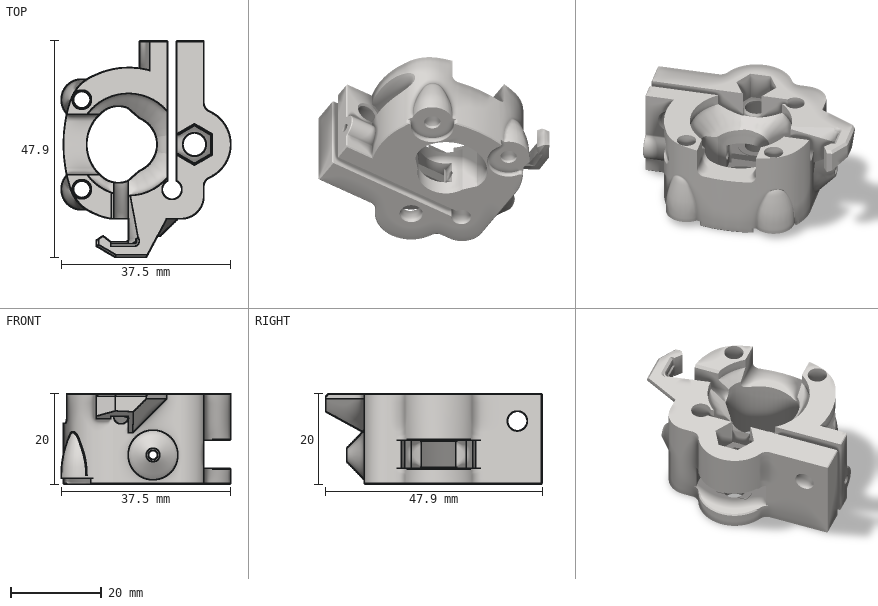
import cadquery as cq
import math


HEIGHT = 20.0
TOLERANCE = 0.01
BODY_RADIUS = 17.03
LEFT_X = -14.4
LEFT_CORNER = (-12.8, 9.67)
BODY_BLEND_X = -7.42
SIDE_ARC_MID = (-10.81, 13.055)
FRONT_ARC_MID = (-5.5, -16.07)
FRONT_Y = -16.45
FRONT_FLAT_START_X = -3.4
FRONT_CORNER_RADIUS = 5.05
EDGE_CHAMFER = 0.25

TAB_END_Y = 22.9
TAB_LEFT_X = 4.7
TAB_RIGHT_X = 16.7
SLOT_LEFT_X = 8.65
SLOT_RIGHT_X = 10.63
RELIEF_Y = -9.95
RELIEF_RADIUS = 2.15
CLAMP_HOLE_Y = 17.4
CLAMP_HOLE_Z = 14.0
CLAMP_HOLE_RADIUS = 2.16
CLAMP_SINK_RADIUS = 2.6
CLAMP_HEAD_RADIUS = 3.35
TAB_CHAMFER = 0.2

EAR_X = 14.6
EAR_RADIUS = 8.05
EAR_FILLET = 2.0
SHAFT_RADIUS = 2.55
NUT_ACROSS_FLATS = 7.9
NUT_FLOOR_Z = 14.0
NUT_DRAFT_DEGREES = 3.0
NUT_OPENING_HALF_WIDTH = 2.1
ROLLER_RADIUS = 8.5
ROLLER_FLOOR_Z = 3.6
ROLLER_CEILING_Z = 9.7
ROLLER_EDGE_CHAMFER = 0.3
SPACER_RADIUS = 4.0
SPACER_HEIGHT = 0.15
WINDOW_HALF_WIDTH = 4.35
WINDOW_END_X = 7.0

BORE_RADIUS = 6.3
BORE_LOBE_RADIUS = 9.2
LOBE_TIP_ARC = ((-5.2, 7.58), (-2.4, 8.45), (-0.1, 8.02))
LOBE_STEP = (2.45, 5.8)
FUNNEL_RADIUS = 11.3
FUNNEL_RIM_Z = 17.6
FUNNEL_SLOPE = 0.87
FUNNEL_FLAT_HALF_WIDTH = 2.0

NOTCH_FLOOR_Z = 13.53
NOTCH_HALF_WIDTH = 6.7
NOTCH_FILLET = 1.5
NOTCH_END_X = -1.0

MOUNT_X = -10.3
MOUNT_Y = 9.9
MOUNT_RADIUS = 2.13
MOUNT_THROAT_RADIUS = 1.83
MOUNT_THROAT_TOP_Z = 2.0
BULLET_RADIUS = 4.57
BULLET_BASE_Z = 1.3
BULLET_SHOULDER_Z = 2.0
BULLET_NOSE_LENGTH = 10.5
MOUNT_RECESS_RADIUS = 4.75
MOUNT_RECESS_FILLET = 0.6
BULLET_FILLET = 0.3
BULLET_SEAM_X = -11.9
BULLET_SEAM_Y = 11.6
BULLET_SEAM_Z = 11.5

FILAMENT_X = 5.44
FILAMENT_Z = 6.5
FILAMENT_RADIUS = 1.0
GUIDE_BASE_RADIUS = 5.5
GUIDE_TIP_RADIUS = 1.5
GUIDE_LENGTH = 3.87
SLEEVE_RADIUS = 3.03
SLEEVE_FILLET = 0.4

GROOVE_WIDTH = 3.25
GROOVE_FLOOR_Z = 13.35
GROOVE_CHAMFER = 0.55
HOOK_REACH = 8.5
HOOK_END_Y = FRONT_Y - HOOK_REACH
HOOK_TIP = (-5.6, -20.2)
HOOK_NOSE_X = -7.15
HOOK_NOSE_Y = (-21.2, -22.45)
HOOK_HEEL_X = (-2.9, 3.95)
HOOK_ROOT_X = 8.45
HOOK_ROOT_DEPTH = 2.0
HOOK_BLANK_BASE_Z = 5.0
HOOK_INNER_Y = -21.5
HOOK_INNER_X = -3.95
HOOK_INNER_FILLET = 0.6
HOOK_BEVEL = 0.55
HOOK_SIDE_Z = 18.9
HOOK_UNDER_Z = (16.05, 11.4)
HOOK_UNDER_LEVEL_X = 1.1
HOOK_UNDER_TILT = 0.047
HOOK_TIP_FLOOR_Z = 14.45
HOOK_SPAN_FLOOR_Z = 15.05
GROOVE_FLARE_NEAR = (-11.0, 0.35)
GROOVE_FLARE_FAR = (-21.95, 2.4)
GROOVE_FLARE_FILLET = 0.9
LEDGE_BEVEL = 0.55
LEDGE_CORNER_RADIUS = 1.15


def on_circle(radius, x):
    """Positive Y of the point at x on an origin-centred circle."""
    return math.sqrt(radius**2 - x**2)


def box(x0, x1, y0, y1, z0, z1):
    return cq.Workplane("XY").box(x1 - x0, y1 - y0, z1 - z0, centered=False).translate((x0, y0, z0))


def upright(x, y, radius, z0, z1):
    return cq.Workplane("XY", origin=(x, y, z0)).circle(radius).extrude(z1 - z0)


def along_y(x, z, radius, y0, y1):
    return cq.Workplane("XZ", origin=(x, y0, z)).circle(radius).extrude(y0 - y1)


def along_x(y, z, radius, x0, x1):
    return cq.Workplane("YZ", origin=(x0, y, z)).circle(radius).extrude(x1 - x0)


def ruled_along_y(section_a, y_a, section_b, y_b):
    """Straight-sided solid between two XZ polygons."""
    wires = [
        cq.Wire.makePolygon([cq.Vector(x, y, z) for x, z in section], close=True)
        for section, y in ((section_a, y_a), (section_b, y_b))
    ]
    return cq.Workplane(obj=cq.Solid.makeLoft(wires, True))


def nearest(x, y, z):
    return cq.selectors.NearestToPointSelector((x, y, z))


def make_body():
    blend_y = on_circle(BODY_RADIUS, BODY_BLEND_X)
    corner_x, corner_y = LEFT_CORNER
    side_mid_x, side_mid_y = SIDE_ARC_MID
    outline = (
        cq.Workplane("XY")
        .moveTo(TAB_RIGHT_X, TAB_END_Y)
        .lineTo(TAB_LEFT_X, TAB_END_Y)
        .lineTo(TAB_LEFT_X, on_circle(BODY_RADIUS, TAB_LEFT_X))
        .threePointArc((0, BODY_RADIUS), (BODY_BLEND_X, blend_y))
        .threePointArc((side_mid_x, side_mid_y), (corner_x, corner_y))
        .threePointArc((LEFT_X, 0), (corner_x, -corner_y))
        .threePointArc((side_mid_x, -side_mid_y), (BODY_BLEND_X, -blend_y))
        .threePointArc(FRONT_ARC_MID, (FRONT_FLAT_START_X, FRONT_Y))
        .lineTo(TAB_RIGHT_X - FRONT_CORNER_RADIUS, FRONT_Y)
        .radiusArc((TAB_RIGHT_X, FRONT_Y + FRONT_CORNER_RADIUS), -FRONT_CORNER_RADIUS)
        .close()
    )
    body = outline.extrude(HEIGHT).union(upright(EAR_X, 0, EAR_RADIUS, 0, HEIGHT))
    neck_y = on_circle(EAR_RADIUS, TAB_RIGHT_X - EAR_X)
    necks = cq.selectors.BoxSelector(
        (TAB_RIGHT_X - TOLERANCE, -neck_y - TOLERANCE, 0),
        (TAB_RIGHT_X + TOLERANCE, neck_y + TOLERANCE, HEIGHT),
    )
    prism = body.edges("|Z").edges(necks).fillet(EAR_FILLET)
    body = prism.faces("<Z").edges().chamfer(EDGE_CHAMFER)

    body = body.union(along_y(FILAMENT_X, FILAMENT_Z, SLEEVE_RADIUS, BORE_LOBE_RADIUS, TAB_END_Y))
    sleeve_mid_y = (on_circle(BODY_RADIUS, TAB_LEFT_X) + TAB_END_Y) / 2
    sleeve_half_height = on_circle(SLEEVE_RADIUS, TAB_LEFT_X - FILAMENT_X)
    sleeve_edges = [
        body.edges(nearest(TAB_LEFT_X, sleeve_mid_y, FILAMENT_Z + side * sleeve_half_height)).val()
        for side in (-1, 1)
    ]
    body = body.newObject(sleeve_edges).fillet(SLEEVE_FILLET)

    reach = 2 * TAB_END_Y
    layer = prism.intersect(box(-reach, reach, -reach, reach, 0, BULLET_BASE_Z))
    recessed = layer
    for y in (-MOUNT_Y, MOUNT_Y):
        recessed = recessed.cut(upright(MOUNT_X, y, MOUNT_RECESS_RADIUS, 0, BULLET_BASE_Z))
    mouths = cq.selectors.BoxSelector(
        (LEFT_X, -BODY_RADIUS, 0), (BODY_BLEND_X, BODY_RADIUS, BULLET_BASE_Z)
    )
    recessed = recessed.edges("|Z").edges(mouths).fillet(MOUNT_RECESS_FILLET)
    body = body.cut(layer.cut(recessed))
    body = body.cut(make_clamp_slot())
    return body.faces(">Y").edges().chamfer(TAB_CHAMFER)


def make_bullet(y):
    """Boss with an elliptical nose, merging into the left side of the body."""
    nose_z = BULLET_SHOULDER_Z + BULLET_NOSE_LENGTH
    slant = math.sqrt(0.5)
    nose_mid = (BULLET_RADIUS * slant, BULLET_SHOULDER_Z + BULLET_NOSE_LENGTH * slant)
    profile = (
        cq.Workplane("XZ")
        .moveTo(0, BULLET_BASE_Z)
        .lineTo(BULLET_RADIUS, BULLET_BASE_Z)
        .lineTo(BULLET_RADIUS, BULLET_SHOULDER_Z)
        .spline([nose_mid, (0, nose_z)], tangents=[(0, 1), (-1, 0)], includeCurrent=True)
        .close()
    )
    return profile.revolve(360, (0, 0, 0), (0, 1, 0)).translate((MOUNT_X, y, 0))


def make_guide_cone():
    """Pointed filament guide on the front face."""
    profile = (
        cq.Workplane("XY")
        .moveTo(0, 0)
        .lineTo(GUIDE_BASE_RADIUS, 0)
        .lineTo(GUIDE_TIP_RADIUS, -GUIDE_LENGTH)
        .lineTo(0, -GUIDE_LENGTH)
        .close()
    )
    return profile.revolve(360, (0, 0, 0), (0, 1, 0)).translate((FILAMENT_X, FRONT_Y, FILAMENT_Z))


def make_hook():
    root_y = FRONT_Y + HOOK_ROOT_DEPTH
    heel_left, heel_right = HOOK_HEEL_X
    nose_top_y, nose_bottom_y = HOOK_NOSE_Y
    base_z = HOOK_BLANK_BASE_Z
    outline = [
        (0, root_y),
        (0, HOOK_INNER_Y),
        (HOOK_INNER_X, HOOK_INNER_Y),
        HOOK_TIP,
        (HOOK_NOSE_X, nose_top_y),
        (HOOK_NOSE_X, nose_bottom_y),
        (heel_left, HOOK_END_Y),
        (heel_right, HOOK_END_Y),
        (HOOK_ROOT_X, FRONT_Y),
        (HOOK_ROOT_X, root_y),
    ]
    hook = cq.Workplane("XY", origin=(0, 0, base_z)).polyline(outline).close().extrude(HEIGHT - base_z)
    inner_corner = hook.edges(nearest(0, HOOK_INNER_Y, (HEIGHT + base_z) / 2))
    hook = inner_corner.fillet(HOOK_INNER_FILLET)

    bevelled = [
        (HOOK_NOSE_X, (nose_top_y + nose_bottom_y) / 2),
        ((HOOK_NOSE_X + heel_left) / 2, (nose_bottom_y + HOOK_END_Y) / 2),
        ((heel_left + heel_right) / 2, HOOK_END_Y),
    ]
    top_edges = [hook.edges(nearest(x, y, HEIGHT)).val() for x, y in bevelled]
    hook = hook.newObject(top_edges).chamfer(HOOK_BEVEL)

    def flank(x):
        drop = HOOK_SIDE_Z - base_z
        beyond = x + HOOK_ROOT_X
        return [(x, HOOK_SIDE_Z), (x - drop, base_z), (beyond, base_z), (beyond, HOOK_SIDE_Z)]

    flank_cut = ruled_along_y(flank(heel_right), HOOK_END_Y, flank(HOOK_ROOT_X), FRONT_Y)

    def underside(level_z):
        nose_z = level_z + HOOK_UNDER_TILT * (HOOK_UNDER_LEVEL_X - HOOK_NOSE_X)
        root_z = level_z + HOOK_UNDER_TILT * (HOOK_UNDER_LEVEL_X - HOOK_ROOT_X)
        return [(HOOK_NOSE_X, 0), (HOOK_NOSE_X, nose_z), (HOOK_ROOT_X, root_z), (HOOK_ROOT_X, 0)]

    end_level, root_level = HOOK_UNDER_Z
    under_cut = ruled_along_y(underside(end_level), HOOK_END_Y, underside(root_level), FRONT_Y)
    tip_cut = box(HOOK_NOSE_X, HOOK_INNER_X, HOOK_END_Y, FRONT_Y, 0, HOOK_TIP_FLOOR_Z)
    span_cut = box(HOOK_INNER_X, 0, HOOK_END_Y, FRONT_Y, 0, HOOK_SPAN_FLOOR_Z)

    for cutter in (flank_cut, under_cut, tip_cut, span_cut):
        hook = hook.cut(cutter)
    return hook


def make_bore():
    lobe_start, lobe_mid, lobe_end = LOBE_TIP_ARC
    step_x, step_y = LOBE_STEP

    def mirrored(point):
        return (point[0], -point[1])

    return (
        cq.Workplane("XY")
        .moveTo(*lobe_start)
        .threePointArc(lobe_mid, lobe_end)
        .lineTo(step_x, step_y)
        .threePointArc((BORE_RADIUS, 0), (step_x, -step_y))
        .lineTo(*mirrored(lobe_end))
        .threePointArc(mirrored(lobe_mid), mirrored(lobe_start))
        .threePointArc((-BORE_LOBE_RADIUS, 0), lobe_start)
        .close()
        .extrude(HEIGHT)
    )


def make_funnel():
    apex_z = FUNNEL_RIM_Z - FUNNEL_RADIUS * FUNNEL_SLOPE
    profile = (
        cq.Workplane("XZ")
        .moveTo(0, apex_z)
        .lineTo(FUNNEL_RADIUS, FUNNEL_RIM_Z)
        .lineTo(FUNNEL_RADIUS, HEIGHT)
        .lineTo(0, HEIGHT)
        .close()
    )
    funnel = profile.revolve(360, (0, 0, 0), (0, 1, 0))

    ramp_z = apex_z + FUNNEL_SLOPE * math.hypot(SLOT_LEFT_X, FUNNEL_FLAT_HALF_WIDTH)
    ramp = [(0, 0), (0, ramp_z - FUNNEL_SLOPE * SLOT_LEFT_X), (SLOT_LEFT_X, ramp_z), (SLOT_LEFT_X, 0)]
    funnel = funnel.cut(ruled_along_y(ramp, -FUNNEL_FLAT_HALF_WIDTH, ramp, FUNNEL_FLAT_HALF_WIDTH))
    beyond_slot = box(SLOT_LEFT_X, FUNNEL_RADIUS, -FUNNEL_RADIUS, FUNNEL_RADIUS, 0, HEIGHT)
    return funnel.cut(beyond_slot)


def make_notch():
    notch = box(2 * LEFT_X, NOTCH_END_X, -NOTCH_HALF_WIDTH, NOTCH_HALF_WIDTH, NOTCH_FLOOR_Z, HEIGHT)
    return notch.faces("<Z").edges("|X").fillet(NOTCH_FILLET)


def make_groove():
    radius = GROOVE_WIDTH / 2
    groove_end_y = HOOK_INNER_Y + HOOK_INNER_FILLET
    start_y = -BORE_RADIUS
    axis_z = GROOVE_FLOOR_Z + radius
    round_floor = along_y(-radius, axis_z, radius, groove_end_y, start_y)
    slot = box(-GROOVE_WIDTH, 0, groove_end_y, start_y, axis_z, HEIGHT)
    left = -GROOVE_WIDTH
    corner = [(left, HEIGHT), (left - GROOVE_CHAMFER, HEIGHT), (left, HEIGHT - GROOVE_CHAMFER)]
    chamfer = ruled_along_y(corner, FRONT_Y, corner, start_y)

    def flare(width):
        return [(0, HEIGHT), (width, HEIGHT), (0, HEIGHT - width)]

    near_y, near_width = GROOVE_FLARE_NEAR
    far_y, far_width = GROOVE_FLARE_FAR
    flared = ruled_along_y(flare(near_width), near_y, flare(far_width), far_y)
    flared = flared.edges(nearest(far_width / 2, far_y, HEIGHT - far_width / 2)).fillet(GROOVE_FLARE_FILLET)
    ledge = box(HOOK_INNER_X, 0, far_y, groove_end_y, HEIGHT - far_width, HEIGHT)

    bevel_y = far_y - LEDGE_BEVEL
    corner_x = far_width - LEDGE_CORNER_RADIUS
    bevel = [(far_y, HEIGHT - LEDGE_BEVEL), (far_y, HEIGHT), (bevel_y, HEIGHT)]
    bevel_start = cq.Workplane("YZ", origin=(HOOK_INNER_X, 0, 0))
    straight_bevel = bevel_start.polyline(bevel).close().extrude(corner_x - HOOK_INNER_X)
    corner_bevel = cq.Workplane(
        obj=cq.Solid.makeCone(
            LEDGE_CORNER_RADIUS - LEDGE_BEVEL,
            LEDGE_CORNER_RADIUS,
            LEDGE_BEVEL,
            cq.Vector(corner_x, bevel_y + LEDGE_CORNER_RADIUS, HEIGHT - LEDGE_BEVEL),
        )
    )
    groove = round_floor.union(slot).union(chamfer).union(flared)
    return groove.union(ledge).union(straight_bevel).union(corner_bevel)


def make_roller_pocket():
    pocket = upright(EAR_X, 0, ROLLER_RADIUS, ROLLER_FLOOR_Z, ROLLER_CEILING_Z)
    for z in (ROLLER_FLOOR_Z, ROLLER_CEILING_Z - SPACER_HEIGHT):
        pocket = pocket.cut(upright(EAR_X, 0, SPACER_RADIUS, z, z + SPACER_HEIGHT))
    window = box(
        0, WINDOW_END_X, -WINDOW_HALF_WIDTH, WINDOW_HALF_WIDTH, ROLLER_FLOOR_Z, ROLLER_CEILING_Z
    )
    reach = 2 * EAR_RADIUS
    side_opening = box(TAB_RIGHT_X, EAR_X + reach, -reach, reach, ROLLER_FLOOR_Z, ROLLER_CEILING_Z)
    return pocket.union(window).union(side_opening)


def make_ear_bevel(z, direction):
    """Ring that bevels the rim of the ear where the roller opening starts."""
    rim = [
        (EAR_RADIUS - ROLLER_EDGE_CHAMFER, z),
        (EAR_RADIUS, z),
        (EAR_RADIUS, z + direction * ROLLER_EDGE_CHAMFER),
    ]
    ring = cq.Workplane("XZ").polyline(rim).close().revolve(360, (0, 0, 0), (0, 1, 0))
    free_side = box(SPACER_RADIUS, EAR_RADIUS, -EAR_RADIUS, EAR_RADIUS, 0, HEIGHT)
    return ring.intersect(free_side).translate((EAR_X, 0, 0))


def make_shaft_seat():
    nut_diameter = NUT_ACROSS_FLATS / math.cos(math.pi / 6)
    nut = (
        cq.Workplane("XY", origin=(EAR_X, 0, HEIGHT))
        .transformed(rotate=(0, 180, 30))
        .polygon(6, nut_diameter)
        .extrude(HEIGHT - NUT_FLOOR_Z, taper=NUT_DRAFT_DEGREES)
    )
    opening = box(
        SLOT_RIGHT_X, EAR_X, -NUT_OPENING_HALF_WIDTH, NUT_OPENING_HALF_WIDTH, NUT_FLOOR_Z, HEIGHT
    )
    return nut.union(opening).union(upright(EAR_X, 0, SHAFT_RADIUS, 0, HEIGHT))


def make_clamp_hole():
    hole = along_x(CLAMP_HOLE_Y, CLAMP_HOLE_Z, CLAMP_HOLE_RADIUS, TAB_LEFT_X, TAB_RIGHT_X)
    sink = cq.Workplane(
        obj=cq.Solid.makeCone(
            CLAMP_SINK_RADIUS,
            CLAMP_HOLE_RADIUS,
            CLAMP_SINK_RADIUS - CLAMP_HOLE_RADIUS,
            cq.Vector(TAB_LEFT_X, CLAMP_HOLE_Y, CLAMP_HOLE_Z),
            cq.Vector(1, 0, 0),
        )
    )
    head = along_x(CLAMP_HOLE_Y, CLAMP_HOLE_Z, CLAMP_HEAD_RADIUS, LEFT_X, TAB_LEFT_X)
    return hole.union(sink).union(head)


def make_clamp_slot():
    slot = box(SLOT_LEFT_X, SLOT_RIGHT_X, RELIEF_Y, TAB_END_Y, 0, HEIGHT)
    relief_x = (SLOT_LEFT_X + SLOT_RIGHT_X) / 2
    return slot.union(upright(relief_x, RELIEF_Y, RELIEF_RADIUS, 0, HEIGHT))


def make_mount_hole(y):
    hole = upright(MOUNT_X, y, MOUNT_RADIUS, MOUNT_THROAT_TOP_Z, HEIGHT)
    throat = upright(MOUNT_X, y, MOUNT_THROAT_RADIUS, 0, HEIGHT)
    return hole.union(throat)


part = make_body()
part = part.union(make_guide_cone()).union(make_hook())
for side in (-1, 1):
    part = part.union(make_bullet(side * MOUNT_Y))
    seam = part.edges(nearest(BULLET_SEAM_X, side * BULLET_SEAM_Y, BULLET_SEAM_Z))
    part = seam.fillet(BULLET_FILLET)

cutters = [
    make_bore(),
    make_funnel(),
    make_notch(),
    make_groove(),
    make_roller_pocket(),
    make_ear_bevel(ROLLER_FLOOR_Z, -1),
    make_ear_bevel(ROLLER_CEILING_Z, 1),
    make_shaft_seat(),
    make_clamp_hole(),
    make_mount_hole(-MOUNT_Y),
    make_mount_hole(MOUNT_Y),
    along_y(FILAMENT_X, FILAMENT_Z, FILAMENT_RADIUS, FRONT_Y - GUIDE_LENGTH, TAB_END_Y),
]
for cutter in cutters:
    part = part.cut(cutter)

result = part